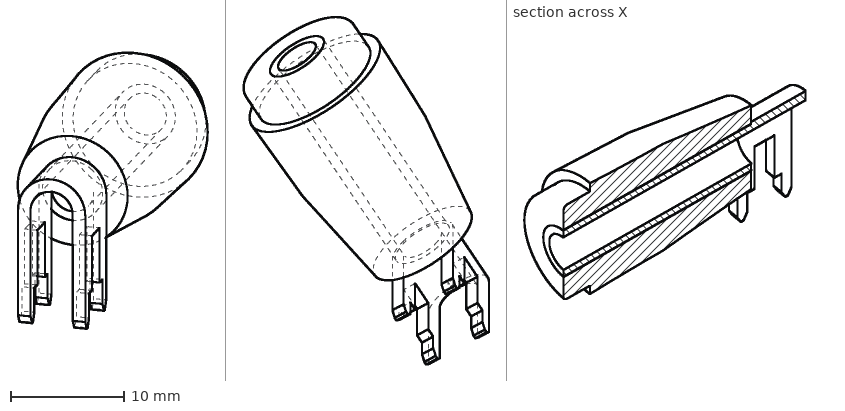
import cadquery as cq

total_length = 27.8
bore_radius = 1.95

sleeve_start = 6.23
taper_change = 16.37
collar_start = 24.75
front_radius = 5.1
middle_radius = 6.48
rear_radius = 6.73
collar_radius = 5.73
collar_fillet = 0.5

tube_radius = 2.78
terminal_radius = 3.1
terminal_bottom = -10.68
terminal_middle = sleeve_start / 2

upper_slot_width = 2.25
upper_slot_top = -2.5
lower_slot_width = 3.95
lower_slot_top = -7.62

tip_start = -9.9
tip_width = 0.3
leg_width = (sleeve_start - lower_slot_width) / 2
tip_inset = (leg_width - tip_width) / 2


def cylinder_along_y(radius, start, end):
    return cq.Workplane("XZ", origin=(0, start, 0)).circle(radius).extrude(start - end)


def make_sleeve():
    profile = (
        cq.Workplane("XY")
        .moveTo(tube_radius, sleeve_start)
        .lineTo(front_radius, sleeve_start)
        .lineTo(middle_radius, taper_change)
        .lineTo(rear_radius, collar_start)
        .lineTo(collar_radius, collar_start)
        .lineTo(collar_radius, total_length)
        .lineTo(tube_radius, total_length)
        .close()
    )
    sleeve = profile.revolve(360, (0, 0, 0), (0, 1, 0))
    outer_rear_edge = cq.selectors.RadiusNthSelector(-1)
    return sleeve.faces(">Y").edges(outer_rear_edge).fillet(collar_fillet)


def u_prism(radius):
    """Round-topped prism with straight sides down to the leg ends."""
    return (
        cq.Workplane("XZ")
        .moveTo(-radius, terminal_bottom)
        .lineTo(-radius, 0)
        .threePointArc((0, radius), (radius, 0))
        .lineTo(radius, terminal_bottom)
        .close()
        .extrude(-sleeve_start)
    )


def make_wall_outline():
    """Side outline of the terminal: stepped cutout between two pointed legs."""
    right_half = [
        (upper_slot_width / 2, upper_slot_top),
        (upper_slot_width / 2, lower_slot_top),
        (lower_slot_width / 2, lower_slot_top),
        (lower_slot_width / 2, tip_start),
        (lower_slot_width / 2 + tip_inset, terminal_bottom),
        (sleeve_start / 2 - tip_inset, terminal_bottom),
        (sleeve_start / 2, tip_start),
        (sleeve_start / 2, terminal_radius),
    ]
    left_half = [(-y, z) for y, z in reversed(right_half)]
    return (
        cq.Workplane("YZ", origin=(0, terminal_middle, 0))
        .polyline(right_half + left_half)
        .close()
        .extrude(terminal_radius, both=True)
    )


def make_contact():
    terminal = u_prism(terminal_radius).cut(u_prism(bore_radius)).intersect(make_wall_outline())
    tube = cylinder_along_y(tube_radius, sleeve_start, total_length)
    bore = cylinder_along_y(bore_radius, sleeve_start, total_length)
    return terminal.union(tube.cut(bore))


sleeve = make_sleeve()
contact = make_contact()

result = cq.Compound.makeCompound([sleeve.val(), *contact.solids().vals()])